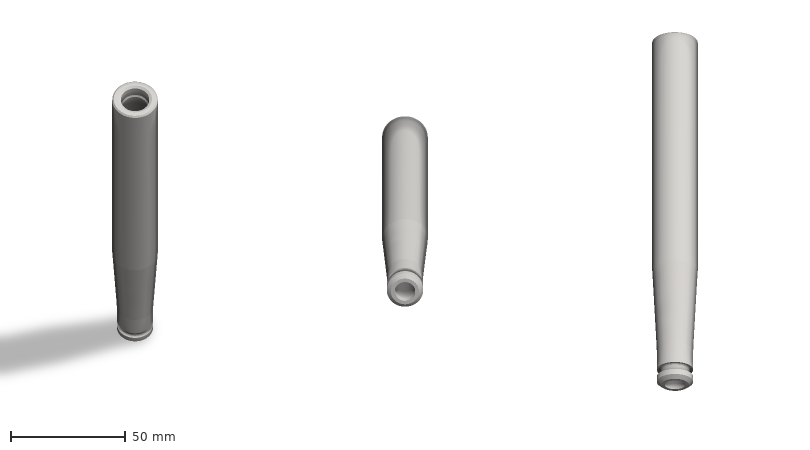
import cadquery as cq

length = 166.0
shaft_diameter = 20.0
top_chamfer = 0.7

neck_diameter = 16.0
taper_bottom = 17.0
taper_top = 55.5

groove_diameter = 13.0
groove_root_chamfer = 0.3
groove_bottom = 4.0
groove_top = 7.3
foot_diameter = 12.3
foot_chamfer_height = 1.5

through_diameter = 9.0
thread_diameter = 11.0
thread_depth = 24.9
pilot_diameter = 12.5
pilot_depth = 5.3
mouth_diameter = 14.8
mouth_depth = 0.7

thread_cone = (thread_diameter - through_diameter) / 2
pilot_cone = 0.5


def revolve_about_z(profile):
    """Revolve a closed profile of (diameter, height) points about the Z axis."""
    points = [(diameter / 2, height) for diameter, height in profile]
    return cq.Workplane("XZ").polyline(points).close().revolve(360, (0, 0), (0, 1))


def make_shaft():
    """Solid shaft with its taper, groove and end chamfers."""
    return revolve_about_z([
        (0, 0),
        (foot_diameter, 0),
        (neck_diameter, foot_chamfer_height),
        (neck_diameter, groove_bottom),
        (groove_diameter + 2 * groove_root_chamfer, groove_bottom),
        (groove_diameter, groove_bottom + groove_root_chamfer),
        (groove_diameter, groove_top - groove_root_chamfer),
        (groove_diameter + 2 * groove_root_chamfer, groove_top),
        (neck_diameter, groove_top),
        (neck_diameter, taper_bottom),
        (shaft_diameter, taper_top),
        (shaft_diameter, length - top_chamfer),
        (shaft_diameter - 2 * top_chamfer, length),
        (0, length),
    ])


def make_bore():
    """Through hole that widens in steps towards a conical mouth at the top."""
    return revolve_about_z([
        (0, 0),
        (through_diameter, 0),
        (through_diameter, length - thread_depth - thread_cone),
        (thread_diameter, length - thread_depth),
        (thread_diameter, length - pilot_depth - pilot_cone),
        (pilot_diameter, length - pilot_depth),
        (pilot_diameter, length - mouth_depth),
        (mouth_diameter, length),
        (0, length),
    ])


result = make_shaft().cut(make_bore())